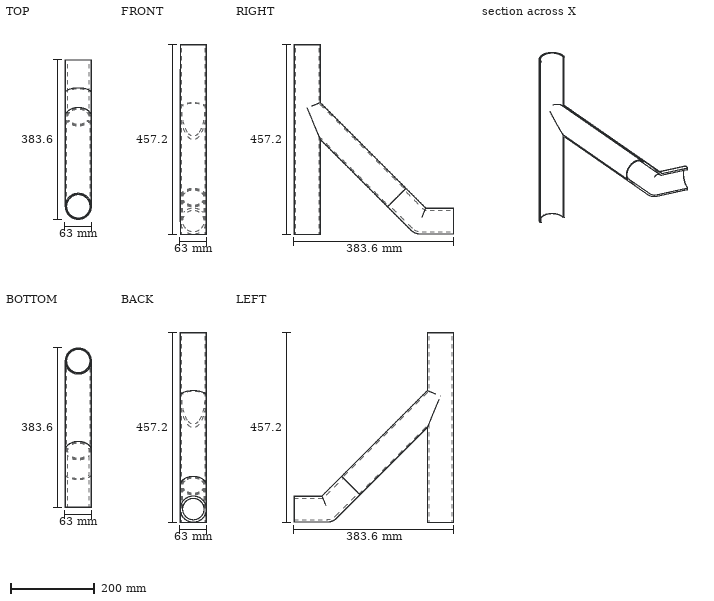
import cadquery as cq
import math

pipe_diameter = 63.0
pipe_bore = 56.19
pipe_height = 457.2

branch_length = 304.8
branch_angle = math.radians(45)
junction_z = 304.8

elbow_diameter = 62.99
elbow_bore = 51.4
elbow_leg = 80.0

base = cq.Vector(0, 0, 0)
up = cq.Vector(0, 0, 1)
junction = cq.Vector(0, 0, junction_z)
branch_direction = cq.Vector(0, math.cos(branch_angle), -math.sin(branch_angle))
bend = junction + branch_direction * (branch_length + elbow_leg)
mouth_direction = cq.Vector(0, 1, 0)


def rod(diameter, length, start, direction):
    """Solid round bar from a start point along a direction."""
    return cq.Workplane(cq.Solid.makeCylinder(diameter / 2, length, start, direction))


def wye_form(diameter):
    """Upright bar with a sloping branch of the same diameter starting on its axis."""
    main = rod(diameter, pipe_height, base, up)
    branch = rod(diameter, branch_length, junction, branch_direction)
    return main.union(branch)


def elbow_form(diameter):
    """Two straight legs joined by a ball at the bend point."""
    upper_leg = rod(diameter, elbow_leg, bend, -branch_direction)
    mouth_leg = rod(diameter, elbow_leg, bend, mouth_direction)
    ball = cq.Workplane("XY").sphere(diameter / 2).translate(bend)
    return upper_leg.union(mouth_leg).union(ball)


wye = wye_form(pipe_diameter).cut(wye_form(pipe_bore))

elbow = elbow_form(elbow_diameter).cut(elbow_form(elbow_bore))

result = cq.Compound.makeCompound([wye.val(), elbow.val()])